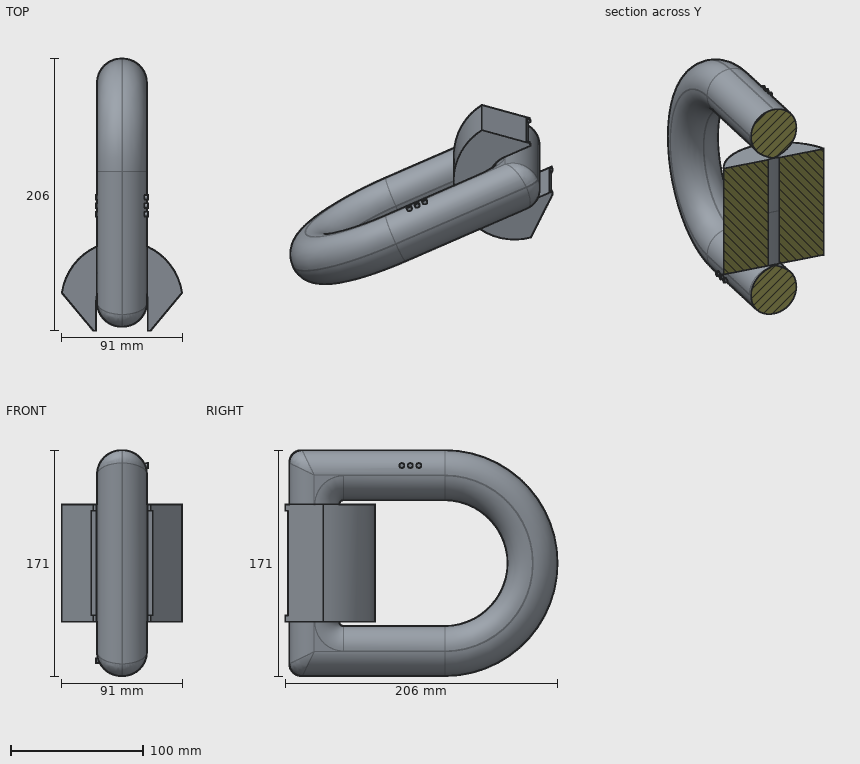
import cadquery as cq


RING_THICKNESS = 38.0
HALF_THICKNESS = RING_THICKNESS / 2
FLAT_WIDTH = 0.5
EDGE_RADIUS = (RING_THICKNESS - FLAT_WIDTH) / 2
RING_HEIGHT = 171.0
OUTER_RADIUS = RING_HEIGHT / 2
INNER_RADIUS = OUTER_RADIUS - RING_THICKNESS
LEG_LENGTH = 98.5
INNER_CORNER_RADIUS = 3.0
OUTER_CORNER_RADIUS = HALF_THICKNESS / 2

MARK_DIAMETER = 3.8
MARK_COUNT = 3
MARK_PITCH = 6.4
MARK_FIRST_Y = 66.2
MARK_Z = 73.8
MARK_TIP_X = 19.7
MARK_ROOT_X = 14.0

BRACKET_HEIGHT = 89.0
BRACKET_RADIUS = 46.02
SHOULDER_HALF_WIDTH = 45.52
SHOULDER_Y = (BRACKET_RADIUS**2 - SHOULDER_HALF_WIDTH**2) ** 0.5
BRACKET_CLEARANCE = 0.5
SLOT_RADIUS = HALF_THICKNESS + BRACKET_CLEARANCE
FOOT_Y = -22.0
FOOT_HALF_WIDTH = 21.6
NUB_LENGTH = 2.0
NUB_HEIGHT = 5.0


def d_plate(half_height, bottom_y):
    """D-shaped plate of the ring thickness: straight base at bottom_y and a round bow."""
    return (
        cq.Workplane("YZ", origin=(-HALF_THICKNESS, 0, 0))
        .moveTo(bottom_y, -half_height)
        .lineTo(LEG_LENGTH, -half_height)
        .threePointArc((LEG_LENGTH + half_height, 0), (LEG_LENGTH, half_height))
        .lineTo(bottom_y, half_height)
        .close()
        .extrude(RING_THICKNESS)
    )


def make_mark(side, y):
    """One round mark on the leg, on the -X, -Z side or the +X, +Z side."""
    return (
        cq.Workplane("YZ", origin=(side * MARK_ROOT_X, y, side * MARK_Z))
        .circle(MARK_DIAMETER / 2)
        .extrude(side * (MARK_TIP_X - MARK_ROOT_X))
    )


def make_ring():
    """D-shaped ring with nearly round section and marks on two opposite sides."""
    opening = d_plate(INNER_RADIUS, HALF_THICKNESS)
    opening = opening.edges("|X and <Y").fillet(INNER_CORNER_RADIUS)
    body = d_plate(OUTER_RADIUS, -HALF_THICKNESS).cut(opening)
    body = body.faces("<X or >X").edges().fillet(EDGE_RADIUS)
    body = body.faces("<Y").edges("|X").fillet(OUTER_CORNER_RADIUS)
    for side in (-1, 1):
        for index in range(MARK_COUNT):
            body = body.union(make_mark(side, MARK_FIRST_Y + index * MARK_PITCH))
    return body


def make_bracket():
    """Saddle around the bar: round back, tapered sides and a slot open toward -Y."""
    block = (
        cq.Workplane("XY", origin=(0, 0, -BRACKET_HEIGHT / 2))
        .moveTo(-FOOT_HALF_WIDTH, FOOT_Y)
        .lineTo(-SHOULDER_HALF_WIDTH, SHOULDER_Y)
        .threePointArc((0, BRACKET_RADIUS), (SHOULDER_HALF_WIDTH, SHOULDER_Y))
        .lineTo(FOOT_HALF_WIDTH, FOOT_Y)
        .close()
        .extrude(BRACKET_HEIGHT)
    )
    bore = cq.Workplane("XY").circle(SLOT_RADIUS).extrude(BRACKET_HEIGHT / 2, both=True)
    slot = cq.Workplane("XY").box(
        2 * SLOT_RADIUS, -FOOT_Y, BRACKET_HEIGHT, centered=(True, False, True)
    )
    slot = slot.translate((0, FOOT_Y, 0))
    relief_height = BRACKET_HEIGHT - 2 * NUB_HEIGHT
    foot_relief = cq.Workplane("XY").box(
        2 * SHOULDER_HALF_WIDTH, NUB_LENGTH, relief_height, centered=(True, False, True)
    )
    foot_relief = foot_relief.translate((0, FOOT_Y, 0))
    return block.cut(bore).cut(slot).cut(foot_relief)


ring = make_ring()
bracket = make_bracket()

result = cq.Compound.makeCompound([ring.solids().val(), bracket.solids().val()])